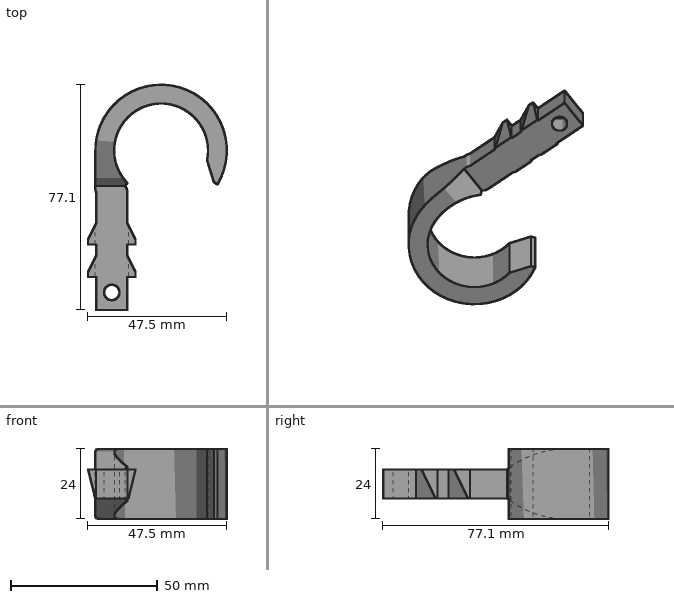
import cadquery as cq
import math

OUTER_RADIUS = 22.5
INNER_RADIUS = 16.0
HOOK_HEIGHT = 24.0

LEAD_IN_START_Y = -3.35
TIP_INNER = (18.0, -10.85)
TIP_OUTER_Y = -11.65

STEM_LEFT = -22.2
STEM_WIDTH = 10.7
STEM_RIGHT = STEM_LEFT + STEM_WIDTH
STEM_CENTER = STEM_LEFT + STEM_WIDTH / 2
STEM_HEIGHT = 10.0
STEM_END_Y = -54.56

NOTCH = (-12.3, -12.2)
SHOULDER_TOP_Y = -13.35
SHOULDER_BOTTOM_Y = -14.5
STEM_ROUND_END_Y = -14.1

TAPER_START_Y = 8.25
TAPER_END_Y = NOTCH[1]

BARB_REAR_YS = (-32.15, -43.25)
BARB_LENGTH = 7.3
BARB_TIP_FLAT = 1.75
BARB_DEPTH_TOP = 2.79
BARB_DEPTH_BOTTOM = 0.35

HOLE_DIAMETER = 5.2
HOLE_TO_END = 6.05


def x_on_circle(radius, y):
    """Positive X of the point at height y on a circle about the origin."""
    return math.sqrt(radius**2 - y**2)


def tangent_round_middle():
    """Middle point of the arc from the notch that runs tangent into the stem side."""
    run = STEM_RIGHT - NOTCH[0]
    rise = NOTCH[1] - STEM_ROUND_END_Y
    radius = (run**2 + rise**2) / (2 * run)
    half_angle = math.asin(rise / radius) / 2
    center_x = STEM_RIGHT - radius
    return (
        center_x + radius * math.cos(half_angle),
        STEM_ROUND_END_Y + radius * math.sin(half_angle),
    )


def make_plan_body():
    """Hook and plain stem in plan, at full hook height."""
    cusp_y = -x_on_circle(INNER_RADIUS, STEM_RIGHT)
    lead_in_start = (x_on_circle(INNER_RADIUS, LEAD_IN_START_Y), LEAD_IN_START_Y)
    tip_outer = (x_on_circle(OUTER_RADIUS, TIP_OUTER_Y), TIP_OUTER_Y)
    round_middle = tangent_round_middle()
    return (
        cq.Workplane("XY", origin=(0, 0, -HOOK_HEIGHT / 2))
        .moveTo(-OUTER_RADIUS, 0)
        .threePointArc((0, OUTER_RADIUS), tip_outer)
        .lineTo(*TIP_INNER)
        .lineTo(*lead_in_start)
        .threePointArc((0, INNER_RADIUS), (STEM_RIGHT, cusp_y))
        .lineTo(*NOTCH)
        .threePointArc(round_middle, (STEM_RIGHT, STEM_ROUND_END_Y))
        .lineTo(STEM_RIGHT, STEM_END_Y)
        .lineTo(STEM_LEFT, STEM_END_Y)
        .lineTo(STEM_LEFT, SHOULDER_BOTTOM_Y)
        .lineTo(-OUTER_RADIUS, SHOULDER_TOP_Y)
        .close()
        .extrude(HOOK_HEIGHT)
    )


def make_side_envelope():
    """Side outline, full height at the ring and tapering along arcs to the stem height."""
    drop = (HOOK_HEIGHT - STEM_HEIGHT) / 2
    taper_length = TAPER_START_Y - TAPER_END_Y
    taper_radius = (taper_length**2 + drop**2) / (2 * drop)
    half_angle = math.asin(taper_length / taper_radius) / 2
    middle_y = TAPER_START_Y - taper_radius * math.sin(half_angle)
    middle_z = HOOK_HEIGHT / 2 - taper_radius * (1 - math.cos(half_angle))
    return (
        cq.Workplane("YZ", origin=(-OUTER_RADIUS, 0, 0))
        .moveTo(OUTER_RADIUS, HOOK_HEIGHT / 2)
        .lineTo(TAPER_START_Y, HOOK_HEIGHT / 2)
        .threePointArc((middle_y, middle_z), (TAPER_END_Y, STEM_HEIGHT / 2))
        .lineTo(STEM_END_Y, STEM_HEIGHT / 2)
        .lineTo(STEM_END_Y, -STEM_HEIGHT / 2)
        .lineTo(TAPER_END_Y, -STEM_HEIGHT / 2)
        .threePointArc((middle_y, -middle_z), (TAPER_START_Y, -HOOK_HEIGHT / 2))
        .lineTo(OUTER_RADIUS, -HOOK_HEIGHT / 2)
        .close()
        .extrude(OUTER_RADIUS)
    )


def make_free_half():
    """Block around the +X half of the hook, which keeps its full height."""
    size = 2 * OUTER_RADIUS
    return cq.Workplane("XY").box(OUTER_RADIUS, size, HOOK_HEIGHT, centered=(False, True, True))


def make_barb_pair(rear_y):
    """Two opposite barbs with square rear faces, narrowing towards the lower face."""
    front_y = rear_y + BARB_LENGTH
    tip_y = rear_y + BARB_TIP_FLAT
    half_stem = STEM_WIDTH / 2
    half_top = half_stem + BARB_DEPTH_TOP
    half_bottom = half_stem + BARB_DEPTH_BOTTOM
    plan = (
        cq.Workplane("XY", origin=(STEM_CENTER, 0, -STEM_HEIGHT / 2))
        .polyline(
            [
                (-half_stem, front_y),
                (-half_top, tip_y),
                (-half_top, rear_y),
                (half_top, rear_y),
                (half_top, tip_y),
                (half_stem, front_y),
            ]
        )
        .close()
        .extrude(STEM_HEIGHT)
    )
    wedge = (
        cq.Workplane("XZ", origin=(STEM_CENTER, front_y, 0))
        .polyline(
            [
                (-half_top, STEM_HEIGHT / 2),
                (half_top, STEM_HEIGHT / 2),
                (half_bottom, -STEM_HEIGHT / 2),
                (-half_bottom, -STEM_HEIGHT / 2),
            ]
        )
        .close()
        .extrude(BARB_LENGTH)
    )
    return plan.intersect(wedge)


def make_stem_hole():
    """Cutter for the hole near the end of the stem."""
    return (
        cq.Workplane("XY", origin=(STEM_CENTER, STEM_END_Y + HOLE_TO_END, -STEM_HEIGHT / 2))
        .circle(HOLE_DIAMETER / 2)
        .extrude(STEM_HEIGHT)
    )


envelope = make_side_envelope().union(make_free_half())
result = make_plan_body().intersect(envelope)
for barb_rear_y in BARB_REAR_YS:
    result = result.union(make_barb_pair(barb_rear_y))
result = result.cut(make_stem_hole())